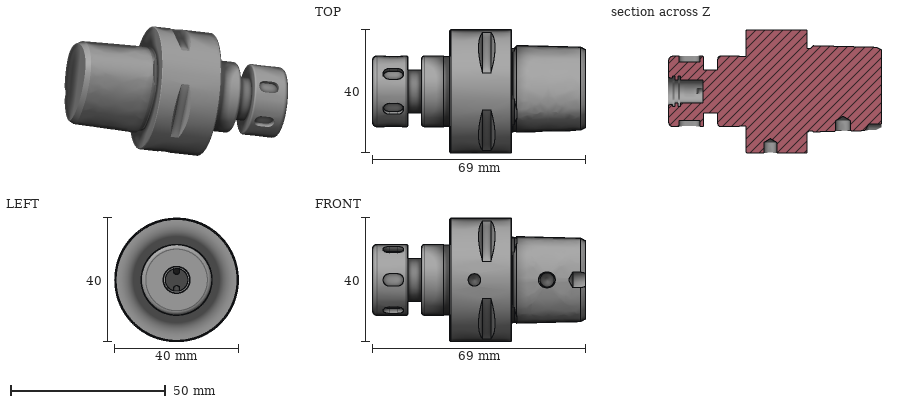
import cadquery as cq
import math

TOTAL_LENGTH = 69.0

NUT_DIAMETER = 23.0
NUT_LENGTH = 11.45
NUT_FRONT_FILLET = 1.5
NUT_REAR_FILLET = 0.55
SPANNER_SLOT_COUNT = 6
SPANNER_SLOT_LENGTH = 6.6
SPANNER_SLOT_WIDTH = 4.0
SPANNER_SLOT_X = 6.75
SPANNER_SLOT_FLOOR_RADIUS = 9.5

NECK_DIAMETER = 14.0
COLLAR_START = 15.9
COLLAR_FILLET = 1.05
COLLAR_STEP_X = 22.9
COLLAR_REAR_DIAMETER = 22.6

FLANGE_DIAMETER = 40.0
FLANGE_START = 25.0
FLANGE_LENGTH = 20.0
FLANGE_END = FLANGE_START + FLANGE_LENGTH
FLANGE_FRONT_CHAMFER = 0.4
FLANGE_REAR_CHAMFER = 0.2
NOTCH_COUNT = 4
NOTCH_X = 37.0
NOTCH_FLOOR_WIDTH = 2.6
NOTCH_FLOOR_RADIUS = 17.7
NOTCH_WALL_ANGLE = 31.0
FLANGE_HOLE_X = 33.0
FLANGE_HOLE_DIAMETER = 4.0
FLANGE_HOLE_DEPTH = 3.45

SHANK_MEAN_RADIUS = 14.1
LOBE = 0.8
SHANK_TAPER = 0.025
END_CHAMFER_X = 67.35
END_CHAMFER_INSET = 0.9
LOBE_COUNT = 3
LOBE_POINTS = 72

PAD_RADIUS = 13.95
PAD_END = 45.9
RELIEF_START = 45.1
RELIEF_END = 46.65
RELIEF_FLOOR = 13.0
RELIEF_ARC_RADIUS = 18.55
RELIEF_SIDE_RISE = 1.0
RELIEF_SIDE_WIDTH = 0.35

SIDE_HOLE_X = 56.5
SIDE_HOLE_DIAMETER = 4.6
SIDE_HOLE_CHAMFER = 0.4
SIDE_HOLE_DEPTH = 3.45
END_NOTCH_DIAMETER = 5.25
END_NOTCH_START = 64.85
END_NOTCH_Y = -13.25

MOUTH_DIAMETER = 8.75
MOUTH_DEPTH = 0.5
LIP_DIAMETER = 8.5
LIP_END = 1.4
GROOVE_DIAMETER = 9.7
BORE_DIAMETER = 7.3
BORE_DEPTH = 11.05
GROOVES = [(1.4, 2.1), (3.1, 3.8)]
DUCT_DIAMETER = 2.0
DUCT_OFFSET = 3.0
DUCT_LENGTH = 4.15
DUCT_ANGLE = 30.0

DRILL_HALF_ANGLE = 59.0
OVERCUT = 3.45


def cylinder(start_x, end_x, diameter):
    return cq.Workplane("YZ", origin=(start_x, 0, 0)).circle(diameter / 2).extrude(end_x - start_x)


def drill(diameter, length):
    """Drill along +X, shoulder at x = 0, shank of the given length behind it, point ahead."""
    radius = diameter / 2
    point = radius / math.tan(math.radians(DRILL_HALF_ANGLE))
    outline = [(-length, 0), (-length, radius), (0, radius), (point, 0)]
    return cq.Workplane("XY").polyline(outline).close().revolve(360, (0, 0, 0), (1, 0, 0))


def make_front_body():
    nut = cylinder(0, NUT_LENGTH, NUT_DIAMETER)
    nut = nut.faces("<X").edges().fillet(NUT_FRONT_FILLET)
    nut = nut.faces(">X").edges().fillet(NUT_REAR_FILLET)
    neck = cylinder(NUT_LENGTH, COLLAR_START, NECK_DIAMETER)
    collar = cylinder(COLLAR_START, COLLAR_STEP_X, NUT_DIAMETER).faces("<X").edges().fillet(COLLAR_FILLET)
    collar_rear = cylinder(COLLAR_STEP_X, FLANGE_START, COLLAR_REAR_DIAMETER)
    flange = cylinder(FLANGE_START, FLANGE_END, FLANGE_DIAMETER)
    flange = flange.faces("<X").edges().chamfer(FLANGE_FRONT_CHAMFER)
    flange = flange.faces(">X").edges().chamfer(FLANGE_REAR_CHAMFER)
    return nut.union(neck).union(collar).union(collar_rear).union(flange)


def lobed_wire(x, inset):
    """Closed three-lobed outline at x, moved inward by inset from the full shank size."""
    radius = SHANK_MEAN_RADIUS - inset
    points = []
    for i in range(LOBE_POINTS):
        a = 2 * math.pi * i / LOBE_POINTS
        y = radius * math.cos(a) + 2 * LOBE * math.cos(2 * a) - LOBE * math.cos(4 * a)
        z = radius * math.sin(a) - 2 * LOBE * math.sin(2 * a) - LOBE * math.sin(4 * a)
        points.append(cq.Vector(x, y, z))
    return cq.Wire.assembleEdges([cq.Edge.makeSpline(points, periodic=True)])


def make_shank():
    taper_inset = SHANK_TAPER * (END_CHAMFER_X - FLANGE_END)
    start = lobed_wire(FLANGE_END, 0)
    shoulder = lobed_wire(END_CHAMFER_X, taper_inset)
    end = lobed_wire(TOTAL_LENGTH, taper_inset + END_CHAMFER_INSET)
    shank = cq.Workplane(cq.Solid.makeLoft([start, shoulder, end], True))

    clear_radius = PAD_RADIUS + OVERCUT
    envelope = (
        cq.Workplane("XY")
        .polyline([
            (FLANGE_END, 0),
            (FLANGE_END, PAD_RADIUS),
            (PAD_END, PAD_RADIUS),
            (PAD_END + OVERCUT, clear_radius),
            (TOTAL_LENGTH, clear_radius),
            (TOTAL_LENGTH, 0),
        ])
        .close()
        .revolve(360, (0, 0, 0), (1, 0, 0))
    )
    shank = shank.intersect(envelope)

    relief_outer_radius = RELIEF_ARC_RADIUS + OVERCUT
    relief = (
        cq.Workplane("XY")
        .polyline([
            (RELIEF_START, RELIEF_ARC_RADIUS + RELIEF_SIDE_RISE),
            (RELIEF_START + RELIEF_SIDE_WIDTH, RELIEF_ARC_RADIUS),
            (RELIEF_END, RELIEF_ARC_RADIUS),
            (RELIEF_END, relief_outer_radius),
            (RELIEF_START, relief_outer_radius),
        ])
        .close()
        .revolve(360, (0, 0, 0), (1, 0, 0))
        .translate((0, RELIEF_FLOOR - RELIEF_ARC_RADIUS, 0))
    )
    for i in range(LOBE_COUNT):
        shank = shank.cut(relief.rotate((0, 0, 0), (1, 0, 0), (i + 0.5) * 360 / LOBE_COUNT))
    return shank


def cut_spanner_slots(body):
    slot = (
        cq.Workplane("XZ", origin=(SPANNER_SLOT_X, -SPANNER_SLOT_FLOOR_RADIUS, 0))
        .slot2D(SPANNER_SLOT_LENGTH, SPANNER_SLOT_WIDTH)
        .extrude(OVERCUT)
    )
    for i in range(SPANNER_SLOT_COUNT):
        body = body.cut(slot.rotate((0, 0, 0), (1, 0, 0), i * 360 / SPANNER_SLOT_COUNT))
    return body


def cut_flange_notches(body):
    floor_half = NOTCH_FLOOR_WIDTH / 2
    top_half = floor_half + OVERCUT * math.tan(math.radians(NOTCH_WALL_ANGLE))
    top = NOTCH_FLOOR_RADIUS + OVERCUT
    notch = (
        cq.Workplane("XY")
        .polyline([
            (NOTCH_X - floor_half, NOTCH_FLOOR_RADIUS),
            (NOTCH_X + floor_half, NOTCH_FLOOR_RADIUS),
            (NOTCH_X + top_half, top),
            (NOTCH_X - top_half, top),
        ])
        .close()
        .extrude(FLANGE_DIAMETER / 2, both=True)
    )
    for i in range(NOTCH_COUNT):
        body = body.cut(notch.rotate((0, 0, 0), (1, 0, 0), (i + 0.5) * 360 / NOTCH_COUNT))
    return body


def cut_radial_hole(body, x, diameter, surface_radius, depth):
    """Blind drilled hole entering from -Y."""
    tool = drill(diameter, depth + OVERCUT).rotate((0, 0, 0), (0, 0, 1), 90)
    return body.cut(tool.translate((x, depth - surface_radius, 0)))


def cut_side_holes(body):
    body = cut_radial_hole(
        body, FLANGE_HOLE_X, FLANGE_HOLE_DIAMETER, FLANGE_DIAMETER / 2, FLANGE_HOLE_DEPTH
    )
    surface_radius = SHANK_MEAN_RADIUS - LOBE - SHANK_TAPER * (SIDE_HOLE_X - FLANGE_END)
    body = cut_radial_hole(body, SIDE_HOLE_X, SIDE_HOLE_DIAMETER, surface_radius, SIDE_HOLE_DEPTH)
    hole_radius = SIDE_HOLE_DIAMETER / 2
    cone_height = 2 * SIDE_HOLE_CHAMFER
    countersink = cq.Solid.makeCone(
        hole_radius, hole_radius + cone_height, cone_height,
        cq.Vector(SIDE_HOLE_X, SIDE_HOLE_CHAMFER - surface_radius, 0), cq.Vector(0, -1, 0),
    )
    return body.cut(cq.Workplane(countersink))


def cut_end_notch(body):
    tool = drill(END_NOTCH_DIAMETER, TOTAL_LENGTH - END_NOTCH_START + OVERCUT)
    tool = tool.rotate((0, 0, 0), (0, 0, 1), 180)
    return body.cut(tool.translate((END_NOTCH_START, END_NOTCH_Y, 0)))


def cut_bore(body):
    body = body.cut(cylinder(0, BORE_DEPTH, BORE_DIAMETER))
    body = body.cut(cylinder(0, MOUTH_DEPTH, MOUTH_DIAMETER))
    body = body.cut(cylinder(0, LIP_END, LIP_DIAMETER))
    for groove_start, groove_end in GROOVES:
        body = body.cut(cylinder(groove_start, groove_end, GROOVE_DIAMETER))

    duct = cylinder(-DUCT_DIAMETER, DUCT_LENGTH, DUCT_DIAMETER)
    for side in (1, -1):
        tilted = duct.rotate((0, 0, 0), (0, 1, 0), side * DUCT_ANGLE)
        body = body.cut(tilted.translate((BORE_DEPTH, 0, side * DUCT_OFFSET)))
    return body


result = make_front_body().union(make_shank())
result = cut_spanner_slots(result)
result = cut_flange_notches(result)
result = cut_side_holes(result)
result = cut_end_notch(result)
result = cut_bore(result)